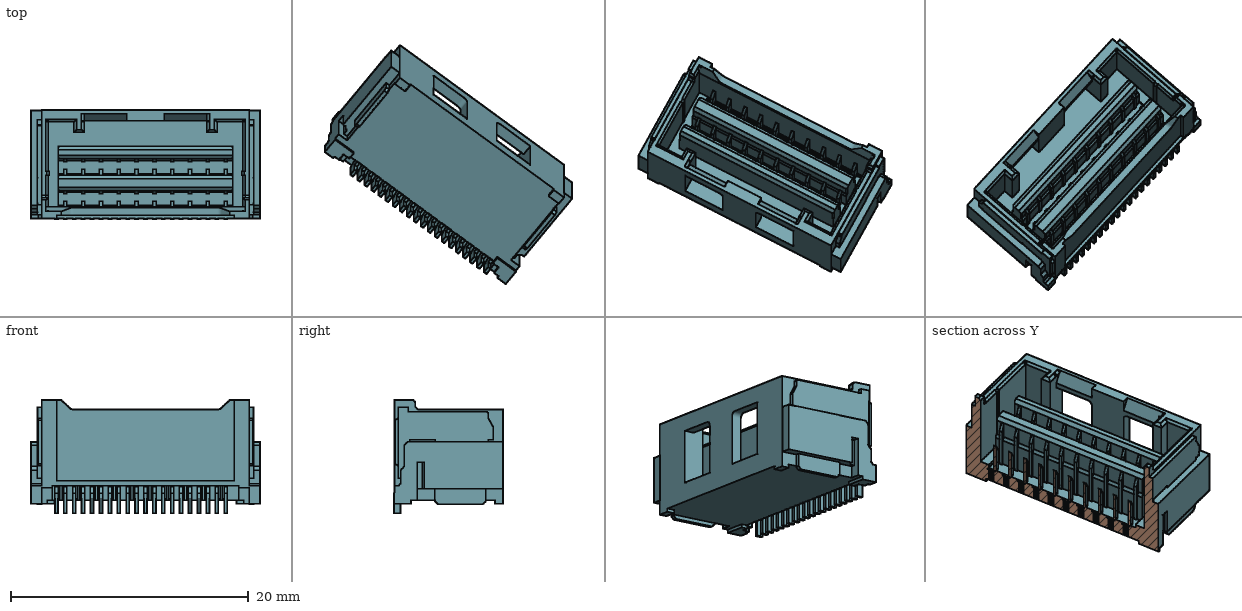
import cadquery as cq


housing_half = 8.75
front_y = 0.05
rear_y = 9.2
body_bottom = 1.08
foot_bottom = 0.8
rear_top = 8.75
front_top = 9.55
step_y = 1.82
step_bevel = 0.2

floor_z = 2.75
cavity_half = 8.18
cavity_front = 1.03
cavity_rear = 8.2
rim_bevel = 0.2
front_bevel = 0.38
front_bevel_height = 0.95
guide_y = 3.87
guide_width = 0.3
guide_height = 0.06

panel_half = 7.47
panel_depth = 0.3
panel_bottom = 2.74
dip_half_top = 7.1
dip_half_bottom = 6.25
dip_radius = 0.45

window_inner = 1.59
window_outer = 5.16
window_top = 7.3
window_radius = 0.4
lintel_y = 8.27
lintel_bottom = 7.78
lintel_depth = 0.6
post_width = 0.86
post_front = 7.31
post_bevel = 0.24

tongue_half = 7.35
tongue_top = 7.1
tongue_bevel = 0.3
tongue_end_bevel = 0.1
tongue_shelf_top = 5.3
tongue_shelf_height = 0.3
slot_front = 1.17
slot_floor = 2.45
contact_count = 10
contact_pitch = 1.5
contact_width = 0.27
rear_tongue_front = 5.1
rear_tongue_back = 6.14
rear_tongue_base = 4.92
front_tongue_front = 2.4
front_tongue_back = 3.72
front_tongue_front_base = 2.25
front_tongue_back_base = 3.84
leading_contact_rise = 0.27
leading_contact_top = 6.7
leading_contact_bottom = 6.0
facing_contact_rise = 0.48
facing_contact_top = 5.5
facing_contact_bottom = 4.5

pin_count = 20
pin_pitch = contact_pitch / 2
pin_width = 0.28
first_pin_x = -7.5
pin_depth = 0.57
pin_slope_bottom = 1.7
pin_top = 2.25
pin_root = 0.7

undercut_half = 7.84
undercut_top = 2.3
undercut_depth = 0.95
pocket_depth = 0.3
pocket_bottom = 1.22
divider_width = 0.2

pad_outer = 9.1
plate_outer = 9.65
plate_top = 6.02
plate_bottom = 2.08
plate_heel = 1.95
foot_depth = 1.46
pad_bottom = 2.96
plate_toe_y = 0.37


def block(x0, x1, y0, y1, z0, z1):
    return cq.Workplane("XY").box(x1 - x0, y1 - y0, z1 - z0, centered=False).translate((x0, y0, z0))


def prism_x(points, x0, x1):
    """Extrude a (Y, Z) outline from x0 to x1."""
    return cq.Workplane("YZ", origin=(x0, 0, 0)).polyline(points).close().extrude(x1 - x0)


def prism_y(points, y0, y1):
    """Extrude an (X, Z) outline from y0 to y1."""
    return cq.Workplane("XZ", origin=(0, y0, 0)).polyline(points).close().extrude(y0 - y1)


def both_sides(half):
    """Add the mirror image of a feature across the YZ plane."""
    return half.union(half.mirror("YZ"))


def housing_block():
    outline = [
        (front_y, body_bottom),
        (rear_y, body_bottom),
        (rear_y, rear_top),
        (step_y + step_bevel, rear_top),
        (step_y, rear_top + step_bevel),
        (step_y, front_top - step_bevel),
        (step_y - step_bevel, front_top),
        (front_y, front_top),
    ]
    return prism_x(outline, -housing_half, housing_half)


def cavity():
    room = block(-cavity_half, cavity_half, cavity_front, cavity_rear, floor_z, front_top)
    middle = block(-window_outer, window_outer, cavity_front, lintel_y, floor_z, front_top)
    room = room.union(middle)

    def side_bevel(y0, y1, top):
        outline = [
            (cavity_half, top - rim_bevel),
            (cavity_half + rim_bevel, top),
            (cavity_half, top),
        ]
        return both_sides(prism_y(outline, y0, y1))

    bevel_front = cavity_front - front_bevel
    rim = cavity_half + rim_bevel
    room = room.union(side_bevel(bevel_front, step_y, front_top))
    room = room.union(side_bevel(step_y, cavity_rear + rim_bevel, rear_top))
    front_slope = [
        (cavity_front, front_top - front_bevel_height),
        (bevel_front, front_top),
        (cavity_front, front_top),
    ]
    rear_slope = [
        (cavity_rear, rear_top - rim_bevel),
        (cavity_rear + rim_bevel, rear_top),
        (cavity_rear, rear_top),
    ]
    room = room.union(prism_x(front_slope, -rim, rim))
    return room.union(both_sides(prism_x(rear_slope, window_outer + post_width - post_bevel, rim)))


def front_panel_cut():
    recess = block(-panel_half, panel_half, front_y, front_y + panel_depth, panel_bottom, front_top)
    outline = [
        (-dip_half_top, front_top),
        (-dip_half_bottom, rear_top),
        (dip_half_bottom, rear_top),
        (dip_half_top, front_top),
    ]
    dip = prism_y(outline, front_y, cavity_front).edges("|Y and <Z").fillet(dip_radius)
    return recess.union(dip)


def rear_windows():
    opening = block(window_inner, window_outer, cavity_rear, rear_y, floor_z, window_top)
    opening = opening.edges("|Y and >Z and <X").fillet(window_radius)
    lead_in = [
        (lintel_y, lintel_bottom),
        (lintel_y + lintel_depth, rear_top),
        (lintel_y, rear_top),
    ]
    side_bevel = [
        (window_outer, rear_top - post_bevel),
        (window_outer + post_bevel, rear_top),
        (window_outer, rear_top),
    ]
    opening = opening.union(prism_x(lead_in, window_inner, window_outer))
    return both_sides(opening.union(prism_y(side_bevel, lintel_y, lintel_y + lintel_depth)))


def posts():
    post = block(window_outer, window_outer + post_width, post_front, lintel_y, floor_z, rear_top)
    return both_sides(post.faces(">Z").edges("<X or >X or <Y").chamfer(post_bevel))


def guide_ribs():
    y0 = guide_y - guide_width / 2
    y1 = guide_y + guide_width / 2
    inner = cavity_half - guide_height
    outline = [
        (inner, floor_z),
        (cavity_half, floor_z),
        (cavity_half, rear_top - rim_bevel),
        (cavity_half + rim_bevel, rear_top),
        (inner + rim_bevel, rear_top),
        (inner, rear_top - rim_bevel),
    ]
    return both_sides(prism_y(outline, y0, y1))


def tongue(front_base, front_face, rear_face, rear_base):
    """One bevelled tongue, thicker below the shelf than above it."""
    shoulder = tongue_top - tongue_bevel
    shelf_bottom = tongue_shelf_top - tongue_shelf_height
    outline = [
        (front_base, slot_floor),
        (front_base, shelf_bottom),
        (front_face, tongue_shelf_top),
        (front_face, shoulder),
        (front_face + tongue_bevel, tongue_top),
        (rear_face - tongue_bevel, tongue_top),
        (rear_face, shoulder),
        (rear_face, tongue_shelf_top),
        (rear_base, shelf_bottom),
        (rear_base, slot_floor),
    ]
    bar = prism_x(outline, -tongue_half, tongue_half)
    ends = block(-tongue_half, tongue_half, front_face, rear_face, tongue_shelf_top, tongue_top)
    ends = ends.edges("|Z").chamfer(tongue_end_bevel)
    base = block(-tongue_half, tongue_half, front_base, rear_base, slot_floor, tongue_shelf_top)
    return bar.intersect(ends.union(base))


def contact_row(root, tip, upper_z, lower_z):
    """A row of wedge contacts growing from the wall at Y = root to Y = tip."""
    outline = [(root, slot_floor), (root, upper_z), (tip, lower_z), (tip, slot_floor)]
    row = None
    for index in range(contact_count):
        x = (index - (contact_count - 1) / 2) * contact_pitch
        wedge = prism_x(outline, x - contact_width / 2, x + contact_width / 2)
        row = wedge if row is None else row.union(wedge)
    return row


def pin_x(index):
    return first_pin_x + index * pin_pitch


def pins():
    outline = [
        (0, 0),
        (pin_depth, 0),
        (pin_depth, pocket_bottom),
        (pin_depth + pin_root, pocket_bottom),
        (pin_depth + pin_root, pin_top),
        (pin_depth, pin_top),
        (0, pin_slope_bottom),
    ]
    row = None
    for index in range(pin_count):
        x = pin_x(index)
        pin = prism_x(outline, x - pin_width / 2, x + pin_width / 2)
        row = pin if row is None else row.union(pin)
    return row


def pin_pockets():
    """Recesses behind each pair of pins, split by a narrow divider."""
    recesses = None
    pocket_rear = undercut_depth + pocket_depth
    for index in range(0, pin_count, 2):
        x0 = pin_x(index)
        x1 = pin_x(index + 1)
        middle = (x0 + x1) / 2
        pocket = block(x0, x1, undercut_depth, pocket_rear, pocket_bottom, undercut_top)
        pocket = pocket.cut(
            block(
                middle - divider_width / 2, middle + divider_width / 2,
                undercut_depth, pocket_rear, pocket_bottom, undercut_top,
            )
        )
        recesses = pocket if recesses is None else recesses.union(pocket)
    return recesses


def feet():
    corner_top = 2.13
    corner_front = front_y + 0.18
    toe_front = front_y + 0.8
    toe_inner = 7.65
    toe_outer = 8.26
    rear_foot_depth = 0.7
    corner = block(undercut_half, housing_half, corner_front, foot_depth, body_bottom, corner_top)
    bridge = block(undercut_half, housing_half, front_y, foot_depth, corner_top, undercut_top)
    toe = block(toe_inner, toe_outer, toe_front, foot_depth, foot_bottom, body_bottom)
    heel = block(toe_outer, housing_half, corner_front, foot_depth, foot_bottom, body_bottom)
    rear = block(toe_inner, housing_half, rear_y - rear_foot_depth, rear_y, foot_bottom, body_bottom)
    return both_sides(corner.union(bridge).union(toe).union(heel).union(rear))


def pads():
    """Thin raised pads on the housing sides, with a bevelled rib at the front edge."""
    front = plate_toe_y
    shoulder_y = 1.23
    shoulder_top = 8.93
    top = 8.55
    rear = 7.95
    rear_low = 8.37
    rear_slope_top = 8.0
    rear_slope_bottom = 7.25
    corner = 0.1
    outline = [
        (front, pad_bottom),
        (front, shoulder_top),
        (shoulder_y, shoulder_top),
        (shoulder_y, top),
        (rear - corner, top),
        (rear, top - corner),
        (rear, rear_slope_top),
        (rear_low, rear_slope_bottom),
        (rear_low, pad_bottom),
    ]
    pad = prism_x(outline, housing_half, pad_outer)

    notch_top = plate_top + 0.18
    notch_front = 1.33
    notch_rear = 3.48
    pad = pad.cut(block(housing_half, pad_outer, notch_front, notch_rear, plate_top, notch_top))
    pad = pad.cut(block(housing_half, pad_outer, rear, rear_low, plate_top, notch_top))

    rib_outer = pad_outer - 0.07
    rib_front = front_y + 0.05
    rib_bevel = 0.15
    rib_bottom = 4.0
    rib_top = 8.0
    rib = [
        (rib_front, rib_bottom + rib_bevel),
        (rib_front, rib_top - rib_bevel),
        (front, rib_top),
        (front, rib_bottom),
    ]
    return both_sides(pad.union(prism_x(rib, housing_half, rib_outer)))


def plates():
    """Side plates with stepped front edges, a vertical slot and a tab below."""
    rear = rear_y - 0.04
    corner_bevel = 0.28
    upper_front = 0.88
    upper_front_bottom = 3.94
    lower_front = 0.57
    lower_front_top = upper_front_bottom - (upper_front - lower_front)
    lower_front_bottom = undercut_top + lower_front - plate_toe_y
    outline = [
        (front_y, foot_bottom),
        (foot_depth, foot_bottom),
        (foot_depth, body_bottom),
        (plate_heel, body_bottom),
        (plate_heel, plate_bottom),
        (rear, plate_bottom),
        (rear, plate_top),
        (upper_front + corner_bevel, plate_top),
        (upper_front, plate_top - corner_bevel),
        (upper_front, upper_front_bottom),
        (lower_front, lower_front_top),
        (lower_front, lower_front_bottom),
        (plate_toe_y, undercut_top),
        (front_y, undercut_top),
    ]
    plate = prism_x(outline, housing_half, plate_outer)

    slot_top = 4.3
    slot_mid = 2.37
    slot_rear = 2.57
    step_depth = 0.25
    step_x = plate_outer - step_depth
    slope_x = step_x - (slot_rear - slot_mid)
    slot = [
        (plate_outer, plate_heel),
        (plate_outer, slot_rear),
        (step_x, slot_rear),
        (slope_x, slot_mid),
        (pad_outer, slot_mid),
        (pad_outer, plate_heel),
    ]
    slot_plane = cq.Workplane("XY", origin=(0, 0, plate_bottom))
    plate = plate.cut(slot_plane.polyline(slot).close().extrude(slot_top - plate_bottom))

    tab_front = 3.45
    tab_rear = 7.75
    tab_bottom = 0.75
    tab_bevel = 0.26
    tab = block(housing_half, pad_outer, tab_front, tab_rear, tab_bottom, plate_bottom)
    tab = tab.edges("|X and <Z").chamfer(tab_bevel)
    return both_sides(plate.union(tab))


body = housing_block().cut(cavity()).cut(front_panel_cut()).cut(rear_windows())
body = body.union(posts()).union(guide_ribs())

well = block(-tongue_half, tongue_half, slot_front, rear_tongue_back, slot_floor, floor_z)
body = body.cut(well)
body = body.union(tongue(rear_tongue_base, rear_tongue_front, rear_tongue_back, rear_tongue_back))
body = body.union(
    tongue(front_tongue_front_base, front_tongue_front, front_tongue_back, front_tongue_back_base)
)

for wall_y in (rear_tongue_front, front_tongue_front):
    tip_y = wall_y - leading_contact_rise
    body = body.union(contact_row(wall_y, tip_y, leading_contact_top, leading_contact_bottom))
for wall_y in (front_tongue_back, cavity_front):
    tip_y = wall_y + facing_contact_rise
    body = body.union(contact_row(wall_y, tip_y, facing_contact_top, facing_contact_bottom))

undercut = block(-housing_half, housing_half, front_y, undercut_depth, body_bottom, undercut_top)
body = body.cut(undercut).cut(pin_pockets())
body = body.union(feet()).union(pins())

result = body.union(pads()).union(plates())